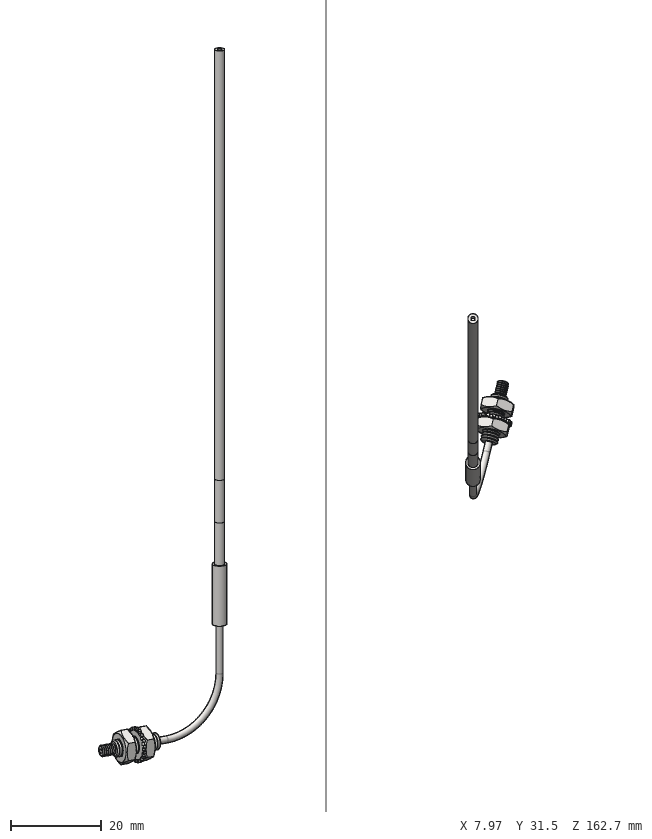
import cadquery as cq
import math

overall_height = 162.7

cable_diameter = 2.3
cable_marker_length = 10.0
bore_diameter = 1.0
bore_depth = 1.6

sleeve_diameter = 3.3
sleeve_length = 14.0

tube_diameter = 1.6
tube_drop = 11.4
bend_radius = 13.3
tube_lead = 2.3

head_diameter = 3.9
head_length = 10.9
head_pitch = 0.7
head_thread_depth = 0.3
tip_diameter = 2.6
tip_length = 3.3
tip_pitch = 0.45
tip_thread_depth = 0.25

nut_across_flats = 7.0
nut_thickness = 2.6
nut_face_diameter = 6.5
nut_chamfer_height = 0.5
rear_nut_offset = 2.3
front_nut_offset = 7.0

washer_diameter = 8.0
washer_root_diameter = 6.7
washer_thickness = 0.7
tooth_count = 18
washer_offset = rear_nut_offset + nut_thickness

nut_corner_diameter = nut_across_flats / math.cos(math.pi / 6)
sleeve_bottom = bend_radius + tube_drop
sleeve_top = sleeve_bottom + sleeve_length
lower_marker = sleeve_top + cable_marker_length
upper_marker = lower_marker + cable_marker_length
cable_top = overall_height - nut_corner_diameter / 2
head_rear = -(bend_radius + tube_lead)


def vertical_cylinder(diameter, bottom, top):
    return cq.Workplane("XY", origin=(0, 0, bottom)).circle(diameter / 2).extrude(top - bottom)


def across_head(offset):
    """Workplane facing -Y, at a distance in front of the head's rear end."""
    return cq.Workplane("XZ", origin=(0, head_rear - offset, 0))


def revolve_on_head(outline, offset):
    """Revolve (radius, distance) points about the head axis, distances counted from the offset."""
    profile = [(radius, head_rear - offset - distance) for radius, distance in outline]
    return cq.Workplane("XY").polyline(profile).close().revolve(360, (0, 0), (0, 1))


def make_cable_end():
    """Long upper cable section, with a small blind bore in its free end."""
    bore = vertical_cylinder(bore_diameter, cable_top - bore_depth, cable_top)
    return vertical_cylinder(cable_diameter, upper_marker, cable_top).cut(bore)


def threaded_rod(offset, length, diameter, pitch, depth):
    """Rod with ring-shaped threads: one V-shaped crest for about every pitch of its length."""
    crest_radius = diameter / 2
    root_radius = crest_radius - depth
    turns = round(length / pitch)
    turn_length = length / turns
    outline = [(0, 0), (root_radius, 0)]
    for turn in range(turns):
        outline.append((crest_radius, (turn + 0.5) * turn_length))
        outline.append((root_radius, (turn + 1) * turn_length))
    outline.append((0, length))
    return revolve_on_head(outline, offset)


def make_tube():
    path = (
        cq.Workplane("YZ")
        .moveTo(0, sleeve_bottom)
        .lineTo(0, bend_radius)
        .radiusArc((-bend_radius, 0), bend_radius)
        .lineTo(head_rear, 0)
    )
    return cq.Workplane("XY", origin=(0, 0, sleeve_bottom)).circle(tube_diameter / 2).sweep(path)


def make_head():
    """Threaded head and tip in one piece with the bent tube, with a small bore in the tip."""
    body = threaded_rod(0, head_length, head_diameter, head_pitch, head_thread_depth)
    tip = threaded_rod(head_length, tip_length, tip_diameter, tip_pitch, tip_thread_depth)
    front_end = head_length + tip_length
    bore = across_head(front_end - bore_depth).circle(bore_diameter / 2).extrude(bore_depth)
    return make_tube().union(body).union(tip).cut(bore)


def make_nut(offset):
    """Hexagon nut with corners up and down, chamfered on both faces."""
    hexagon = (
        across_head(offset)
        .transformed(rotate=(0, 0, 90))
        .polygon(6, nut_corner_diameter)
        .circle(head_diameter / 2)
        .extrude(nut_thickness)
    )
    face_radius = nut_face_diameter / 2
    corner_radius = nut_corner_diameter / 2
    chamfered_blank = revolve_on_head(
        [
            (0, 0),
            (face_radius, 0),
            (corner_radius, nut_chamfer_height),
            (corner_radius, nut_thickness - nut_chamfer_height),
            (face_radius, nut_thickness),
            (0, nut_thickness),
        ],
        offset,
    )
    return hexagon.intersect(chamfered_blank)


def make_washer():
    """Ring whose rim is notched, so that the gaps are as wide as the teeth."""
    ring = across_head(washer_offset).circle(washer_diameter / 2).circle(head_diameter / 2)
    notch_depth = (washer_diameter - washer_root_diameter) / 2
    notch_width = math.pi * washer_diameter / tooth_count / 2
    notches = (
        across_head(washer_offset)
        .polarArray(washer_diameter / 2, 0, 360, tooth_count)
        .rect(2 * notch_depth, notch_width)
        .extrude(washer_thickness)
    )
    return ring.extrude(washer_thickness).cut(notches)


cable_end = make_cable_end()
cable_markers = [
    vertical_cylinder(cable_diameter, bottom, bottom + cable_marker_length)
    for bottom in (sleeve_top, lower_marker)
]
sleeve = vertical_cylinder(sleeve_diameter, sleeve_bottom, sleeve_top)
head = make_head()
nuts = [make_nut(offset) for offset in (rear_nut_offset, front_nut_offset)]
washer = make_washer()

bodies = [cable_end, *cable_markers, sleeve, head, *nuts, washer]
result = cq.Compound.makeCompound([body.solids().val() for body in bodies])